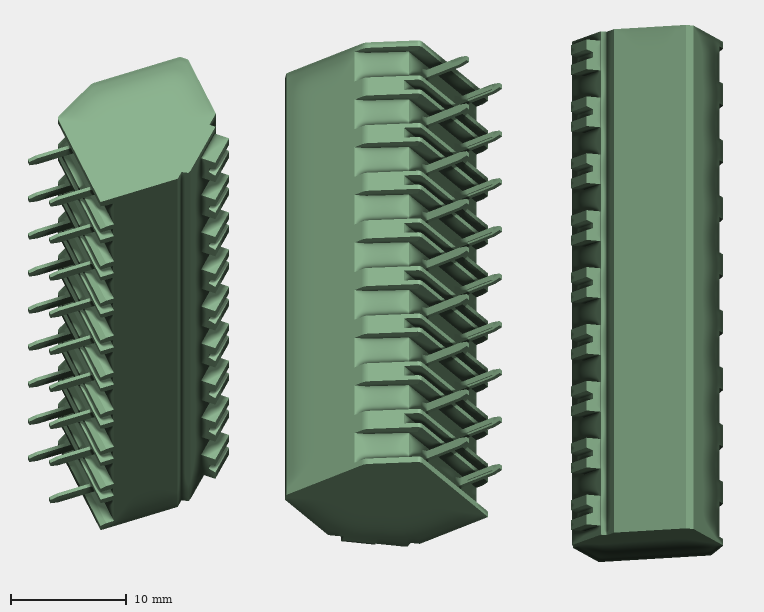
import cadquery as cq
import math

LENGTH = 44.2
WIDTH = 12.7
HEIGHT = 12.9
POLES = 9
PITCH = 5.0
FIRST_POLE_Z = (LENGTH - (POLES - 1) * PITCH) / 2
POLE_CENTRES = [FIRST_POLE_Z + i * PITCH for i in range(POLES)]

BEVEL_X = 2.48
BEVEL_Y = 4.15
BEVEL_BACK_ROUND = 1.0
BEVEL_FOOT_ROUND = 0.5
TOP_CHAMFER = 0.55
NOTCH_START = (7.05, HEIGHT)
NOTCH_BOTTOM = (8.05, 11.95)
FACE_START = (8.45, 12.35)
FACE_END = (12.25, 8.55)
NOSE = (12.4, 8.25)
NOSE_FOOT = (12.1, 7.75)
FRONT_TOP = (WIDTH, 7.15)

RECESS_DEPTH = 1.25
RECESS_CORNER_X = 2.48
RECESS_BACK_Y = 5.2
RECESS_HEIGHT = 2.85
MOUTH_HEIGHT = 3.1
MOUTH_DEPTH = 0.55

GROOVE_HEIGHT = 1.0

FIRST_PIN_X = 4.6
PIN_XS = (FIRST_PIN_X, FIRST_PIN_X + PITCH)
PIN_THICKNESS = 0.35
PIN_WIDTH = 0.8
PIN_ROOT_WIDTH = 1.5
PIN_NECK_Y = 0.7
PIN_TAPER_Y = -2.75
PIN_TIP_Y = -3.5
PIN_TIP_WIDTH = 0.45
PIN_RIB_WIDTH = 0.4
PIN_RIB_THICKNESS = 0.1
PIN_RIB_TOP_Y = -0.15

BUTTON_START = 0.1
BUTTON_LENGTH = 3.0
BUTTON_RISE = 1.33
BUTTON_WIDTH = 2.6
SLOT_WIDTH = 0.9
SLOT_FLOOR_WIDTH = 0.45
SLOT_DEPTH = 0.6

OVERLAP = 0.2


def upright_edge(block, x, y):
    return block.edges(cq.selectors.NearestToPointSelector((x, y, LENGTH / 2)))


def body():
    outline = (
        cq.Workplane("XY")
        .moveTo(0, BEVEL_Y)
        .lineTo(0, HEIGHT)
        .polyline(
            [NOTCH_START, NOTCH_BOTTOM, FACE_START, FACE_END, NOSE, NOSE_FOOT, FRONT_TOP, (WIDTH, 0)],
            includeCurrent=True,
        )
        .lineTo(BEVEL_X, 0)
        .close()
    )
    block = outline.extrude(LENGTH)
    block = upright_edge(block, 0, HEIGHT).chamfer(TOP_CHAMFER)
    block = upright_edge(block, 0, BEVEL_Y).fillet(BEVEL_BACK_ROUND)
    return upright_edge(block, BEVEL_X, 0).fillet(BEVEL_FOOT_ROUND)


def wall_lip():
    """Upper half of the flare: a slab whose back, bevel and underside lean in towards Z = 0.

    It runs well past the front so that the recess stays straight at that end.
    """
    flare_height = (MOUTH_HEIGHT - RECESS_HEIGHT) / 2
    flare_angle = math.degrees(math.atan2(MOUTH_DEPTH, flare_height))
    outline = [(0, BEVEL_Y), (0, HEIGHT), (2 * WIDTH, HEIGHT), (2 * WIDTH, 0), (BEVEL_X, 0)]
    slab = cq.Workplane("XY").polyline(outline).close().extrude(flare_height, taper=flare_angle)
    return slab.mirror("XY").translate((0, 0, MOUTH_HEIGHT / 2))


def recess():
    """Pocket of one pole, along the underside and up the bevel, centred on Z = 0."""
    floor = [(0, RECESS_BACK_Y), (RECESS_CORNER_X, RECESS_DEPTH), (WIDTH + OVERLAP, RECESS_DEPTH)]
    outside = [(WIDTH + OVERLAP, -OVERLAP), (-OVERLAP, -OVERLAP), (-OVERLAP, RECESS_BACK_Y)]
    pocket = cq.Workplane("XY").polyline(floor + outside).close().extrude(MOUTH_HEIGHT / 2, both=True)
    lip = wall_lip()
    return pocket.cut(lip).cut(lip.mirror("XY"))


def groove():
    """Slot across the underside, open at both ends, centred on Z = 0."""
    slot = cq.Workplane("XY").box(WIDTH + 2 * OVERLAP, 2 * RECESS_DEPTH, GROOVE_HEIGHT)
    return slot.translate((WIDTH / 2, 0, 0))


def mirrored(half):
    """Points of the other half of a (Y, Z) section that is symmetric about Z = 0."""
    return [(y, -z) for y, z in reversed(half)]


def pin(x):
    half_outline = [
        (RECESS_DEPTH + OVERLAP, PIN_ROOT_WIDTH / 2),
        (RECESS_DEPTH, PIN_ROOT_WIDTH / 2),
        (PIN_NECK_Y, PIN_WIDTH / 2),
        (PIN_TAPER_Y, PIN_WIDTH / 2),
        (PIN_TIP_Y, PIN_TIP_WIDTH / 2),
    ]
    blade = cq.Workplane("YZ").polyline(half_outline + mirrored(half_outline)).close().extrude(PIN_THICKNESS)
    return blade.translate((x - PIN_THICKNESS / 2, 0, 0))


def pin_rib():
    """Narrow rib on the back side of the pin furthest from the back."""
    left = PIN_XS[-1] - PIN_THICKNESS / 2 - PIN_RIB_THICKNESS
    thickness = PIN_RIB_THICKNESS + PIN_THICKNESS / 2
    rib = cq.Workplane("XY").box(
        thickness, PIN_RIB_TOP_Y - PIN_TAPER_Y, PIN_RIB_WIDTH, centered=(False, False, True)
    )
    return rib.translate((left, PIN_TAPER_Y, 0))


def button():
    face_angle = math.degrees(math.atan2(FACE_END[1] - FACE_START[1], FACE_END[0] - FACE_START[0]))
    half_section = [
        (-OVERLAP, BUTTON_WIDTH / 2),
        (BUTTON_RISE, BUTTON_WIDTH / 2),
        (BUTTON_RISE, SLOT_WIDTH / 2),
        (BUTTON_RISE - SLOT_DEPTH, SLOT_FLOOR_WIDTH / 2),
    ]
    block = cq.Workplane("YZ").polyline(half_section + mirrored(half_section)).close().extrude(BUTTON_LENGTH)
    return (
        block.translate((BUTTON_START, 0, 0))
        .rotate((0, 0, 0), (0, 0, 1), face_angle)
        .translate((*FACE_START, 0))
    )


result = body()
pole_recess = recess()
pole_groove = groove()
pole_parts = [pin(x) for x in PIN_XS] + [pin_rib(), button()]

for z in POLE_CENTRES:
    result = result.cut(pole_recess.translate((0, 0, z)))
for z in POLE_CENTRES[:-1]:
    result = result.cut(pole_groove.translate((0, 0, z + PITCH / 2)))
for z in POLE_CENTRES:
    for part in pole_parts:
        result = result.union(part.translate((0, 0, z)))